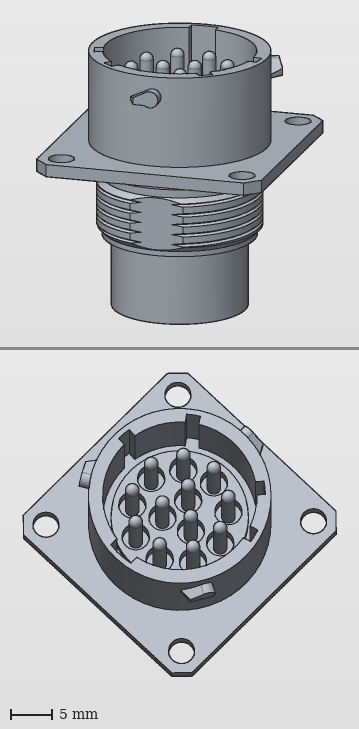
import cadquery as cq
import math

flange_side = 28.57
flange_corner_chamfer = 1.75
flange_bottom_z = 19.28
flange_top_z = 20.84
mount_hole_diameter = 3.15
mount_hole_spacing = 22.94

total_height = 32.2
shell_radius = 11.07
socket_radius = 9.35
socket_floor_z = 22.3
keyway_radius = 10.38
main_keyway_width = 3.36
main_keyway_angle = 90
minor_keyway_width = 1.68
minor_keyway_angles = (195, 230, 305, 355)

collar_flare_radius = 10.9
collar_radius = 10.5
collar_flare_arc_radius = 1.0
collar_flare_z = 18.55
collar_bottom_z = 17.79
neck_radius = 9.45
tail_radius = 8.33
tail_top_z = 8.97

thread_radius = 10.13
thread_bottom_z = 9.63
thread_top_z = 16.45
thread_chamfer = 0.69
thread_pitch = 1.265
thread_root_radius = 9.75
thread_flank_half_angle = 30
thread_groove_start_z = 9.3
thread_half_turns = 12
thread_cutter_overshoot = 0.1
thread_flat_offset = 9.55

lug_angles = (30, 150, 270)
lug_center_z = 29.65
lug_nose_radius = 1.03
lug_tip_radius = 12.32
lug_root_radius = 10.5
lug_ramp_angle = 27
lug_tail_length = 2.95
lug_tip_tail_length = 2.12
lug_underside_drop = 0.79
lug_tail_base_distance = 10.65

insert_face_z = 23.55
contact_radius = 0.82
contact_tip_z = 30.58
contact_recess_radius = 1.65
contact_recess_depth = 2.0
contact_root_depth = 0.8
outer_contact_count = 9
outer_contact_circle_radius = 5.93
outer_contact_first_angle = -90
inner_contacts = ((1.43, 1.54), (-2.25, 0.38), (0.72, -2.2))


def cylinder(radius, bottom_z, top_z):
    return cq.Workplane("XY").workplane(offset=bottom_z).circle(radius).extrude(top_z - bottom_z)


def make_body():
    """Revolved body: tail, threaded length, neck, collar and shell."""
    return (
        cq.Workplane("YZ")
        .moveTo(0, 0)
        .lineTo(tail_radius, 0)
        .lineTo(tail_radius, tail_top_z)
        .lineTo(neck_radius, tail_top_z)
        .lineTo(neck_radius, thread_bottom_z)
        .lineTo(thread_radius, thread_bottom_z + thread_chamfer)
        .lineTo(thread_radius, thread_top_z - thread_chamfer)
        .lineTo(neck_radius, thread_top_z)
        .lineTo(neck_radius, collar_bottom_z)
        .lineTo(collar_radius, collar_bottom_z)
        .lineTo(collar_radius, collar_flare_z)
        .radiusArc((collar_flare_radius, flange_bottom_z), collar_flare_arc_radius)
        .lineTo(shell_radius, flange_bottom_z)
        .lineTo(shell_radius, total_height)
        .lineTo(0, total_height)
        .close()
        .revolve(360, (0, 0, 0), (0, 1, 0))
    )


def make_flange():
    return (
        cq.Workplane("XY")
        .workplane(offset=flange_bottom_z)
        .rect(flange_side, flange_side)
        .extrude(flange_top_z - flange_bottom_z)
        .edges("|Z")
        .chamfer(flange_corner_chamfer)
        .faces(">Z")
        .workplane()
        .rect(mount_hole_spacing, mount_hole_spacing, forConstruction=True)
        .vertices()
        .hole(mount_hole_diameter)
    )


def make_thread_groove(half_turn):
    """Half a turn of the right-handed V groove, starting from the middle of a flat.

    The flats lie below the groove root, so every half turn is a cut of its own.
    """
    cutter_radius = thread_radius + thread_cutter_overshoot
    half_width = (cutter_radius - thread_root_radius) * math.tan(math.radians(thread_flank_half_angle))
    helix = cq.Wire.makeHelix(thread_pitch, thread_pitch / 2, thread_root_radius)
    start_angle = 180 * half_turn - 90
    start_z = thread_groove_start_z + thread_pitch / 2 * half_turn
    return (
        cq.Workplane("XZ")
        .moveTo(thread_root_radius, 0)
        .lineTo(cutter_radius, half_width)
        .lineTo(cutter_radius, -half_width)
        .close()
        .sweep(cq.Workplane(obj=helix), isFrenet=True)
        .rotate((0, 0, 0), (0, 0, 1), start_angle)
        .translate((0, 0, start_z))
    )


def make_flat_cutter(side):
    """Block that trims the thread crests to a flat on the +Y or -Y side."""
    depth = thread_radius
    block = cq.Workplane("XY").box(2 * thread_radius, depth, thread_top_z - thread_bottom_z)
    center_y = side * (thread_flat_offset + depth / 2)
    return block.translate((0, center_y, (thread_top_z + thread_bottom_z) / 2))


def make_socket():
    """Round socket with its full-depth keyways, as one cutting solid."""
    socket = cylinder(socket_radius, socket_floor_z, total_height)
    keyways = [(main_keyway_angle, main_keyway_width)]
    keyways += [(angle, minor_keyway_width) for angle in minor_keyway_angles]
    reach = cylinder(keyway_radius, socket_floor_z, total_height)
    for angle, width in keyways:
        slot = (
            cq.Workplane("XY")
            .workplane(offset=socket_floor_z)
            .center(shell_radius / 2, 0)
            .rect(shell_radius, width)
            .extrude(total_height - socket_floor_z)
            .rotate((0, 0, 0), (0, 0, 1), angle)
        )
        socket = socket.union(slot.intersect(reach))
    return socket


def make_lug(angle):
    """Teardrop bayonet lug, shaped on the -Y side and turned to its angle."""
    shaped_angle = -90
    ramp = math.radians(lug_ramp_angle)
    tangent_x = -lug_nose_radius * math.sin(ramp)
    tangent_z = lug_nose_radius * math.cos(ramp)
    ramp_end_z = tangent_z - (lug_tail_length + tangent_x) * math.tan(ramp)
    underside_x = -math.sqrt(lug_nose_radius**2 - lug_underside_drop**2)
    teardrop = (
        cq.Workplane("XZ", origin=(0, -lug_root_radius, lug_center_z))
        .moveTo(-lug_tail_length, -lug_underside_drop)
        .lineTo(-lug_tail_length, ramp_end_z)
        .lineTo(tangent_x, tangent_z)
        .threePointArc((lug_nose_radius, 0), (underside_x, -lug_underside_drop))
        .close()
        .extrude(lug_tip_radius - lug_root_radius)
    )
    plan = (
        cq.Workplane("XY")
        .workplane(offset=lug_center_z - lug_nose_radius)
        .moveTo(-lug_tail_length, -lug_root_radius)
        .lineTo(-lug_tail_length, -lug_tail_base_distance)
        .lineTo(-lug_tip_tail_length, -lug_tip_radius)
        .lineTo(lug_nose_radius, -lug_tip_radius)
        .lineTo(lug_nose_radius, -lug_root_radius)
        .close()
        .extrude(2 * lug_nose_radius)
    )
    return teardrop.intersect(plan).rotate((0, 0, 0), (0, 0, 1), angle - shaped_angle)


def contact_points():
    step = 2 * math.pi / outer_contact_count
    start = math.radians(outer_contact_first_angle)
    outer = [
        (
            outer_contact_circle_radius * math.cos(start + i * step),
            outer_contact_circle_radius * math.sin(start + i * step),
        )
        for i in range(outer_contact_count)
    ]
    return outer + list(inner_contacts)


def contact_cylinders(radius, bottom_z, top_z):
    return (
        cq.Workplane("XY")
        .workplane(offset=bottom_z)
        .pushPoints(contact_points())
        .circle(radius)
        .extrude(top_z - bottom_z)
    )


def make_contacts():
    """Round-tipped contact pins, rooted below the floors of their recesses."""
    tip_center_z = contact_tip_z - contact_radius
    root_z = insert_face_z - contact_recess_depth - contact_root_depth
    tips = (
        cq.Workplane("XY")
        .workplane(offset=tip_center_z)
        .pushPoints(contact_points())
        .sphere(contact_radius)
    )
    return contact_cylinders(contact_radius, root_z, tip_center_z).union(tips)


body = make_body()
for side in (1, -1):
    body = body.cut(make_flat_cutter(side))
for half_turn in range(thread_half_turns):
    body = body.cut(make_thread_groove(half_turn))

body = body.union(make_flange())
for angle in lug_angles:
    body = body.union(make_lug(angle))
body = body.cut(make_socket())

recesses = contact_cylinders(contact_recess_radius, insert_face_z - contact_recess_depth, insert_face_z)
body = body.union(cylinder(tail_radius, socket_floor_z, insert_face_z))
result = body.cut(recesses).union(make_contacts())